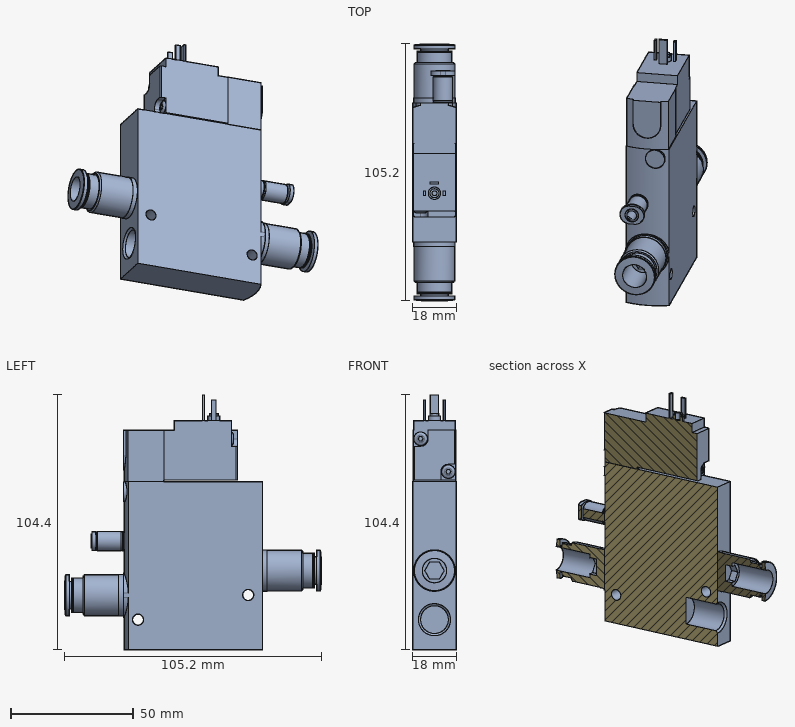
import cadquery as cq
import math


housing_width = 18.0
housing_height = 68.9
crown_y = 56.7
crown_drop = 1.7
boss_face_y = 57.0
side_y = crown_y - crown_drop
crown_radius = ((housing_width / 2) ** 2 + crown_drop ** 2) / (2 * crown_drop)
boss_root_y = side_y - 0.5

mount_hole_diameter = 4.4
mount_holes_yz = [(5.9, 22.5), (51.0, 12.4)]
port_diameter = 11.4
port_mouth_diameter = 13.2
port_chamfer_depth = 0.8
port_depth = 15.8
port_z = 12.4

front_fitting_z = 32.5
rear_fitting_z = 22.4
small_fitting_x = 3.5
small_fitting_z = 44.6
large_boss_diameter = 18.1
small_boss_diameter = 8.0
override_x = -small_fitting_x
override_z = 64.8

adapter_width = 17.5
adapter_end_y = 40.4
adapter_top_z = 90.0
adapter_boss_width = 11.5
adapter_boss_z = 79.5
coil_width = 17.0
coil_bottom_z = 69.5
coil_top_z = 93.9
coil_step_y = 36.2
coil_front_y = 12.7
plate_front_y = 10.2
plate_chamfer_x = 0.4
plate_chamfer_y = 0.6

screws_xz = [(-5.7, 86.5), (5.7, 73.0)]
screw_notch_radius = 3.0
screw_head_diameter = 5.6
screw_head_height = 0.8
screw_flat_diameter = 3.0
screw_socket_diameter = 2.0
screw_socket_depth = 0.6

connector_y = 20.0
collar_diameter = 5.0
collar_height = 1.9
stub_diameter = 3.7
stub_height = 2.8
stub_hole_diameter = 2.0
blade_thickness = 0.8
side_blade_width = 2.0
side_blade_offset = 4.0
side_blade_height = 8.5
ground_blade_width = 3.5
ground_blade_y = 24.2
ground_blade_height = 10.5


def box(x_range, y_range, z_range):
    """Box given by its lower and upper limit along each axis."""
    limits = (x_range, y_range, z_range)
    lengths = [high - low for low, high in limits]
    return cq.Workplane("XY").box(*lengths, centered=False).translate([low for low, high in limits])


def crowned_block(width, start_y, bottom_z, top_z):
    """Block whose +Y end is rounded about a vertical axis."""
    half = width / 2
    drop = crown_radius - math.sqrt(crown_radius ** 2 - half ** 2)
    return (
        cq.Workplane("XY", origin=(0, 0, bottom_z))
        .moveTo(-half, start_y)
        .lineTo(half, start_y)
        .lineTo(half, crown_y - drop)
        .threePointArc((0, crown_y), (-half, crown_y - drop))
        .close()
        .extrude(top_z - bottom_z)
    )


def cylinder_y(diameter, x, z, start_y, end_y):
    """Cylinder along Y from start_y to end_y."""
    base = cq.Vector(x, start_y, z)
    return cq.Workplane(cq.Solid.makeCylinder(diameter / 2, end_y - start_y, base, cq.Vector(0, 1, 0)))


def turned(profile):
    """Turned solid about the Y axis from (diameter, y) points; it starts and ends on the axis."""
    points = [(diameter / 2, y) for diameter, y in profile]
    return cq.Workplane("XY").polyline(points).close().revolve(360, (0, 0), (0, 1))


def make_housing():
    body = crowned_block(housing_width, 0, 0, housing_height)
    seats = [
        (large_boss_diameter, 0, rear_fitting_z),
        (small_boss_diameter, small_fitting_x, small_fitting_z),
        (small_boss_diameter, override_x, override_z),
    ]
    slab = box((-housing_width / 2, housing_width / 2), (0, boss_face_y), (0, housing_height))
    for diameter, x, z in seats:
        body = body.union(cylinder_y(diameter, x, z, boss_root_y, boss_face_y).intersect(slab))
    for y, z in mount_holes_yz:
        hole = cq.Workplane("YZ").center(y, z).circle(mount_hole_diameter / 2)
        body = body.cut(hole.extrude(housing_width / 2, both=True))
    port = turned([
        (0, 0),
        (port_mouth_diameter, 0),
        (port_diameter, port_chamfer_depth),
        (port_diameter, port_depth),
        (0, port_depth),
    ])
    return body.cut(port.translate((0, 0, port_z)))


def make_large_fitting():
    flange_diameter = 17.0
    flange_end = 1.9
    barrel_diameter = 16.8
    barrel_end = 16.5
    barrel_chamfer = 0.6
    neck_diameter = 14.3
    neck_end = 21.3
    groove_start = 20.5
    groove_width = 0.4
    groove_depth = 0.3
    stem_diameter = 11.4
    ring_diameter = 16.8
    ring_rim_diameter = 16.4
    ring_start = 22.1
    ring_end = 23.8
    length = 24.1
    bore_diameter = 10.0
    bore_depth = 16.8
    socket_corner_diameter = 8.0
    socket_depth = 3.2

    groove_diameter = neck_diameter - 2 * groove_depth
    groove_end = groove_start + groove_width
    rim_bevel = (ring_diameter - ring_rim_diameter) / 2
    fitting = turned([
        (0, 0),
        (flange_diameter, 0),
        (flange_diameter, flange_end),
        (barrel_diameter, flange_end),
        (barrel_diameter, barrel_end - barrel_chamfer),
        (barrel_diameter - 2 * barrel_chamfer, barrel_end),
        (neck_diameter, barrel_end),
        (neck_diameter, groove_start),
        (groove_diameter, groove_start),
        (groove_diameter, groove_end),
        (neck_diameter, groove_end),
        (neck_diameter, neck_end),
        (stem_diameter, neck_end),
        (stem_diameter, ring_start),
        (ring_diameter, ring_start),
        (ring_diameter, ring_end - rim_bevel),
        (ring_rim_diameter, ring_end),
        (bore_diameter, length),
        (0, length),
    ])
    bore_floor = length - bore_depth
    fitting = fitting.cut(cylinder_y(bore_diameter, 0, 0, bore_floor, length))
    socket = cq.Workplane("XZ", origin=(0, bore_floor, 0)).polygon(6, socket_corner_diameter)
    return fitting.cut(socket.extrude(socket_depth))


def make_small_fitting():
    foot_end = 0.3
    groove_diameter = 7.8
    barrel_start = 0.9
    barrel_diameter = 8.0
    barrel_end = 10.7
    barrel_chamfer = 0.2
    stem_diameter = 5.0
    ring_start = 11.3
    ring_end = 12.9
    ring_height = 7.8
    ring_width = 10.0
    tip_diameter = 5.6
    length = 13.3
    bore_diameter = 4.1
    bore_depth = 9.5

    fitting = turned([
        (0, 0),
        (barrel_diameter, 0),
        (barrel_diameter, foot_end),
        (groove_diameter, foot_end),
        (groove_diameter, barrel_start),
        (barrel_diameter, barrel_start),
        (barrel_diameter, barrel_end - barrel_chamfer),
        (barrel_diameter - 2 * barrel_chamfer, barrel_end),
        (stem_diameter, barrel_end),
        (stem_diameter, ring_end),
        (tip_diameter, ring_end),
        (tip_diameter, length),
        (0, length),
    ])
    ring = cq.Workplane("XZ", origin=(0, ring_end, 0)).slot2D(ring_width, ring_height)
    fitting = fitting.union(ring.extrude(ring_end - ring_start))
    return fitting.cut(cylinder_y(bore_diameter, 0, 0, length - bore_depth, length))


def make_adapter():
    adapter = crowned_block(adapter_width, adapter_end_y, housing_height, adapter_top_z)
    half = adapter_boss_width / 2
    boss = cylinder_y(adapter_boss_width, 0, adapter_boss_z, boss_root_y, boss_face_y)
    strip = box((-half, half), (boss_root_y, boss_face_y), (adapter_boss_z, adapter_top_z))
    return adapter.union(boss).union(strip)


def make_coil():
    half = coil_width / 2
    low = box((-half, half), (coil_front_y, adapter_end_y), (coil_bottom_z, adapter_top_z))
    high = box((-half, half), (coil_front_y, coil_step_y), (adapter_top_z, coil_top_z))
    return low.union(high)


def make_front_plate():
    """Plate with bevelled upright edges and a rounded notch at each screw."""
    half = coil_width / 2
    bevel_y = plate_front_y + plate_chamfer_y
    plate = (
        cq.Workplane("XY", origin=(0, 0, coil_bottom_z))
        .polyline([
            (-half, coil_front_y),
            (-half, bevel_y),
            (-half + plate_chamfer_x, plate_front_y),
            (half - plate_chamfer_x, plate_front_y),
            (half, bevel_y),
            (half, coil_front_y),
        ])
        .close()
        .extrude(adapter_top_z - coil_bottom_z)
    )
    depth = (plate_front_y, coil_front_y)
    for x, z in screws_xz:
        side_x = math.copysign(half, x)
        edge_z = adapter_top_z if x < 0 else coil_bottom_z
        inner_x = x - math.copysign(screw_notch_radius, x)
        inner_z = z - math.copysign(screw_notch_radius, edge_z - z)
        notch = cylinder_y(2 * screw_notch_radius, x, z, *depth)
        notch = notch.union(box(sorted((x, side_x)), depth, sorted((inner_z, edge_z))))
        notch = notch.union(box(sorted((inner_x, side_x)), depth, sorted((z, edge_z))))
        plate = plate.cut(notch)
    return plate


def make_screw_head():
    """Button head with a hexagon socket, seated at y = 0 and facing -Y."""
    rim = screw_head_diameter / 2
    flat = screw_flat_diameter / 2
    dome_point = (2.3, -0.5)
    head = (
        cq.Workplane("XY")
        .lineTo(rim, 0)
        .threePointArc(dome_point, (flat, -screw_head_height))
        .lineTo(0, -screw_head_height)
        .close()
        .revolve(360, (0, 0), (0, 1))
    )
    socket_floor = screw_socket_depth - screw_head_height
    socket = cq.Workplane("XZ", origin=(0, socket_floor, 0)).polygon(6, screw_socket_diameter)
    return head.cut(socket.extrude(screw_socket_depth))


def make_connector():
    """Round collar with a hollow stub, two side blades and a ground blade."""
    top = cq.Workplane("XY", origin=(0, connector_y, coil_top_z))
    connector = top.circle(collar_diameter / 2).extrude(collar_height)
    connector = connector.union(top.circle(stub_diameter / 2).extrude(stub_height))
    connector = connector.cut(top.circle(stub_hole_diameter / 2).extrude(stub_height))
    for x in (-side_blade_offset, side_blade_offset):
        blade = top.center(x, 0).rect(blade_thickness, side_blade_width)
        connector = connector.union(blade.extrude(side_blade_height))
    ground = top.center(0, ground_blade_y - connector_y).rect(ground_blade_width, blade_thickness)
    return connector.union(ground.extrude(ground_blade_height))


def make_pilot_valve():
    pilot = make_adapter().union(make_coil()).union(make_front_plate())
    for x, z in screws_xz:
        pilot = pilot.union(make_screw_head().translate((x, coil_front_y, z)))
    return pilot.union(make_connector())


housing = make_housing()
pilot_valve = make_pilot_valve()

large_fittings = []
for turn, seat_y, z in [(180, 0, front_fitting_z), (0, boss_face_y, rear_fitting_z)]:
    fitting = make_large_fitting().rotate((0, 0, 0), (0, 0, 1), turn)
    large_fittings.append(fitting.translate((0, seat_y, z)).val())

small_fitting = make_small_fitting().translate((small_fitting_x, boss_face_y, small_fitting_z))

result = cq.Compound.makeCompound([
    housing.val(),
    pilot_valve.val(),
    *large_fittings,
    small_fitting.val(),
])